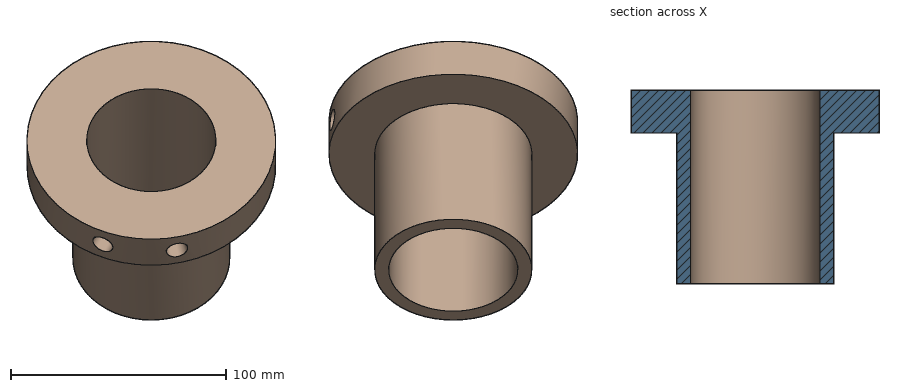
import cadquery as cq

FLANGE_DIAMETER = 115.5
FLANGE_THICKNESS = 20.0
TOTAL_HEIGHT = 90.0
TUBE_DIAMETER = 73.0
BORE_DIAMETER = 60.0

HOLE_DIAMETER = 10.0
HOLE_DEPTH = 15.0
HOLE_ANGLES = (10.0, 45.0)

HOLE_RADIUS = HOLE_DIAMETER / 2
HOLE_TIP_DEPTH = HOLE_RADIUS
FLANGE_BOTTOM = TOTAL_HEIGHT - FLANGE_THICKNESS
HOLE_HEIGHT = FLANGE_BOTTOM + FLANGE_THICKNESS / 2


def make_blank():
    """Tube standing on Z = 0 with the flange around its top and a through bore."""
    tube = cq.Workplane("XY").circle(TUBE_DIAMETER / 2).extrude(TOTAL_HEIGHT)
    flange = (
        cq.Workplane("XY")
        .workplane(offset=FLANGE_BOTTOM)
        .circle(FLANGE_DIAMETER / 2)
        .extrude(FLANGE_THICKNESS)
    )
    bore = cq.Workplane("XY").circle(BORE_DIAMETER / 2).extrude(TOTAL_HEIGHT)
    return tube.union(flange).cut(bore)


def make_rim_hole(angle):
    """Cutter that enters the rim radially and ends in a cone."""
    rim = -FLANGE_DIAMETER / 2
    cone_base = rim + HOLE_DEPTH
    cutter = (
        cq.Workplane("YZ")
        .moveTo(rim, HOLE_HEIGHT)
        .lineTo(cone_base + HOLE_TIP_DEPTH, HOLE_HEIGHT)
        .lineTo(cone_base, HOLE_HEIGHT + HOLE_RADIUS)
        .lineTo(rim, HOLE_HEIGHT + HOLE_RADIUS)
        .close()
        .revolve(360, (rim, HOLE_HEIGHT), (0, HOLE_HEIGHT))
    )
    return cutter.rotate((0, 0, 0), (0, 0, 1), angle)


def make_flanged_bushing():
    """Flanged bushing with the radial holes in its rim."""
    bushing = make_blank()
    for angle in HOLE_ANGLES:
        bushing = bushing.cut(make_rim_hole(angle))
    return bushing


flanged_bushing = make_flanged_bushing()
result = cq.Compound.makeCompound(flanged_bushing.solids().vals())